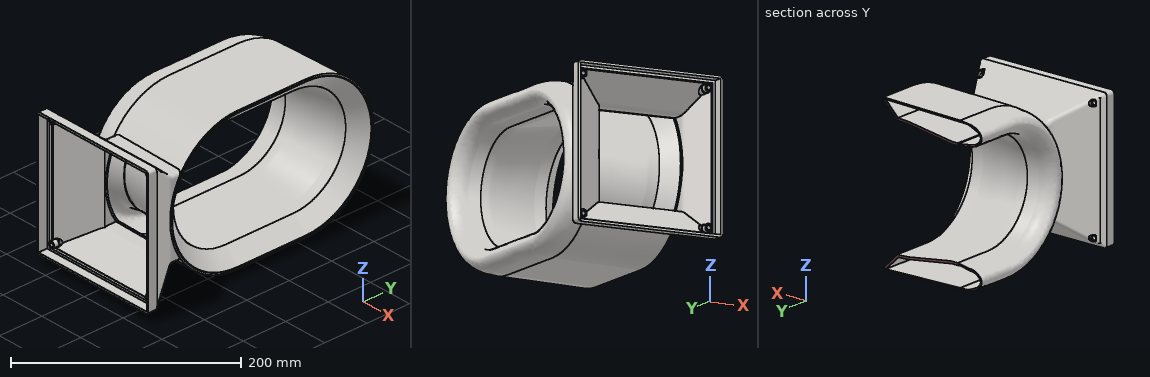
import cadquery as cq
import math

ring_half_width = 56.0
end_centre = 40.0
ring_height = 160.0
seam_x = -31.5
seam_radius = 78.0
shell_wall = 2.0
inner_wall = 2.8

nose_radius = 66.5
curl_x = -40.3
curl_radius = 56.0
lip_end_x = -28.8
bore_radius = 53.8

throat_bend_x = -20.2
diffuser_end_x = 28.3
diffuser_end_radius = 61.0
band_end_x = 40.3
band_radius = 61.5
throat_rounding = 28.0
outside_bend_x = -21.8
outside_rounding = 18.0
flare_start_x = 39.2
flare_end_x = 52.5
flare_rim_radius = 77.3

overall_length = 280.0
flange_half = 72.0
flange_depth = 10.0
flange_rounding = 3.5
rim_width = 2.5
ledge_width = 2.5
mouth_depth = 3.0
neck_half_height = 45.0
neck_wall = 2.8
neck_top_y = -92.5
corner_edge_rise = 0.8
neck_bend_y = -119.3
neck_rounding = 5.0
bend_radius = 11.2
hood_wall = 2.0

boss_spacing = 124.5
boss_face_y = -151.2
boss_tip_diameter = 7.3
boss_step_y = -145.5
boss_base_diameter = 8.5
boss_back_y = -128.8
screw_hole_diameter = 4.2
head_pocket_diameter = 6.5
head_pocket_y = -144.2

rear_radius = ring_height / 2
flange_face_y = end_centre + rear_radius - overall_length
flange_back_y = flange_face_y + flange_depth
mouth_back_y = flange_back_y + mouth_depth


def rounded_outline(plane, points, roundings):
    """Closed outline through points; roundings maps a point index to its corner radius."""
    count = len(points)
    path = []
    for index, corner in enumerate(points):
        corner = cq.Vector(*corner)
        radius = roundings.get(index)
        if radius is None:
            path.append((corner, None, corner))
            continue
        to_previous = (cq.Vector(*points[index - 1]) - corner).normalized()
        to_next = (cq.Vector(*points[(index + 1) % count]) - corner).normalized()
        half_angle = to_previous.getAngle(to_next) / 2
        setback = radius / math.tan(half_angle)
        bisector = (to_previous + to_next).normalized()
        middle = corner + bisector * (radius / math.sin(half_angle) - radius)
        path.append((corner + to_previous * setback, middle, corner + to_next * setback))
    outline = plane.moveTo(path[0][2].x, path[0][2].y)
    for start, middle, end in path[1:] + path[:1]:
        outline = outline.lineTo(start.x, start.y)
        if middle is not None:
            outline = outline.threePointArc((middle.x, middle.y), (end.x, end.y))
    return outline.wire()


def oval_sweep(section):
    """Carry a section (drawn in X and end radius) around the whole oval."""
    straight = section().extrude(2 * end_centre)
    far_end = section().revolve(180, (0, 0), (-1, 0))
    body = straight.union(straight.mirror("XY"))
    return body.union(far_end).union(far_end.mirror("XZ"))


def section_plane():
    return cq.Workplane("XZ", origin=(0, end_centre, 0))


def shell_radius(x):
    """Outer end radius of the slightly tapered outer shell."""
    taper = (rear_radius - seam_radius) / (ring_half_width - seam_x)
    return seam_radius + taper * (x - seam_x)


def quarter_ellipse(start, end, steps=3):
    """Points after start up to end, leaving start along X and arriving at right angles to X."""
    angles = [math.pi / 2 * step / steps for step in range(1, steps + 1)]
    return [
        (
            start[0] + (end[0] - start[0]) * math.sin(angle),
            end[1] + (start[1] - end[1]) * math.cos(angle),
        )
        for angle in angles
    ]


def shoulder_curve(inset=0):
    """Points from the seam to the nose, shifted into the wall by inset."""
    seam = (seam_x, seam_radius - inset)
    nose = (inset - ring_half_width, nose_radius)
    return [seam] + quarter_ellipse(seam, nose)


def nose_curve(inset=0):
    """Points from the seam round the nose to the curl, shifted into the wall by inset."""
    shoulder = shoulder_curve(inset)
    curl = (curl_x, curl_radius + inset)
    curl_to_nose = [curl] + quarter_ellipse(curl, shoulder[-1])
    return shoulder + curl_to_nose[-2::-1]


def lip_section():
    """Rolled nose followed by a tapering skirt that leads into the bore."""
    outside = nose_curve()
    inside = nose_curve(shell_wall)[::-1]
    turn_back = [(-1, 0), (1, 0)]
    return (
        section_plane()
        .moveTo(*outside[0])
        .spline(outside[1:], tangents=turn_back, includeCurrent=True)
        .lineTo(lip_end_x, bore_radius)
        .lineTo(lip_end_x, bore_radius + shell_wall)
        .lineTo(*inside[0])
        .spline(inside[1:], tangents=turn_back, includeCurrent=True)
        .close()
    )


def shell_section():
    """Thin wall that widens slightly towards the +X rim."""
    return (
        section_plane()
        .moveTo(seam_x, seam_radius)
        .lineTo(ring_half_width, rear_radius)
        .lineTo(ring_half_width, rear_radius - shell_wall)
        .lineTo(seam_x, seam_radius - shell_wall)
        .close()
    )


def inner_ring_section():
    """Bore, diffuser, rear band and a flare that closes the duct against the shell."""
    points = [
        (lip_end_x, bore_radius),
        (throat_bend_x, bore_radius),
        (diffuser_end_x, diffuser_end_radius),
        (band_end_x, band_radius),
        (ring_half_width, flare_rim_radius),
        (ring_half_width, rear_radius - shell_wall),
        (flare_end_x, shell_radius(flare_end_x) - shell_wall),
        (flare_start_x, band_radius + inner_wall),
        (diffuser_end_x, diffuser_end_radius + inner_wall),
        (outside_bend_x, bore_radius + inner_wall),
        (lip_end_x, bore_radius + inner_wall),
    ]
    roundings = {1: throat_rounding, 8: outside_rounding, 9: outside_rounding}
    return rounded_outline(section_plane(), points, roundings)


def ring_envelope_section():
    """Space enclosed by the outside of lip and shell, down to the ring's axis."""
    outside = shoulder_curve()
    return (
        section_plane()
        .moveTo(*outside[0])
        .spline(outside[1:], tangents=[(-1, 0), (0, -1)], includeCurrent=True)
        .lineTo(-ring_half_width, 0)
        .lineTo(ring_half_width, 0)
        .lineTo(ring_half_width, rear_radius)
        .close()
    )


def hood_block(wall, slope_wall, left_bend_radius):
    """Neck and sloping hood, shrunk by a wall in the neck and in the slopes.

    Plan and side outlines are intersected, so that the slopes meet in mitres.
    """
    left = seam_x + wall
    right = ring_half_width - wall
    high = neck_half_height - wall

    def mouth(neck_half):
        """Distance from the centre to the slope at the flange, past its wall."""
        spread = flange_half - neck_half
        slope = math.atan2(spread, neck_bend_y - flange_back_y)
        return flange_half - slope_wall / math.cos(slope)

    mouth_left = -mouth(-seam_x)
    mouth_right = mouth(ring_half_width)
    mouth_high = mouth(neck_half_height)
    plan_points = [
        (right, neck_top_y),
        (left, neck_top_y),
        (left, neck_bend_y),
        (mouth_left, flange_back_y),
        (mouth_right, flange_back_y),
        (right, neck_bend_y),
    ]
    side_points = [
        (neck_top_y, high),
        (neck_top_y, -high),
        (neck_bend_y, -high),
        (flange_back_y, -mouth_high),
        (flange_back_y, mouth_high),
        (neck_bend_y, high),
    ]
    bends = {2: bend_radius, 5: bend_radius}
    plan_bends = {2: left_bend_radius, 5: bend_radius}
    plan = rounded_outline(cq.Workplane("XY"), plan_points, plan_bends).extrude(flange_half, both=True)
    side = rounded_outline(cq.Workplane("YZ"), side_points, bends).extrude(flange_half, both=True)
    return plan.intersect(side)


def corner_edges(hood):
    """Edges that run down the four corners, the only ones that change in Y."""
    def runs_along_y(edge):
        return abs(edge.startPoint().y - edge.endPoint().y) > corner_edge_rise

    return [edge for edge in hood.edges().vals() if runs_along_y(edge)]


def square_block(half, front_y, back_y):
    """Square block centred on the Y axis."""
    return (
        cq.Workplane("XZ", origin=(0, back_y, 0))
        .rect(2 * half, 2 * half)
        .extrude(back_y - front_y)
    )


def screw_posts(diameter, front_y, back_y):
    """Four cylinders along Y at the screw positions."""
    return (
        cq.Workplane("XZ", origin=(0, back_y, 0))
        .rect(boss_spacing, boss_spacing, forConstruction=True)
        .vertices()
        .circle(diameter / 2)
        .extrude(back_y - front_y)
    )


throat_cavity = hood_block(neck_wall, hood_wall, None)
ring_envelope = oval_sweep(ring_envelope_section)


def make_lip():
    return oval_sweep(lip_section)


def make_shell():
    return oval_sweep(shell_section).cut(throat_cavity)


def make_inner_ring():
    return oval_sweep(inner_ring_section)


def make_funnel():
    """Hollow neck, hood and recessed flange with a screw boss in each corner."""
    hood = hood_block(0, 0, bend_radius)
    hood = hood.newObject(corner_edges(hood)).fillet(neck_rounding)
    flange = square_block(flange_half, flange_face_y, flange_back_y).edges("|Y").fillet(flange_rounding)
    blank = hood.union(flange)

    recess_half = flange_half - rim_width
    mouth_half = recess_half - ledge_width
    recess = square_block(recess_half, flange_face_y, flange_back_y)
    mouth = square_block(mouth_half, flange_back_y, mouth_back_y)
    throat = throat_cavity.cut(square_block(flange_half, flange_face_y, mouth_back_y))
    funnel = blank.cut(throat).cut(recess).cut(mouth)

    boss_tips = screw_posts(boss_tip_diameter, boss_face_y, boss_back_y)
    boss_bases = screw_posts(boss_base_diameter, boss_step_y, boss_back_y)
    screw_holes = screw_posts(screw_hole_diameter, flange_face_y, boss_back_y)
    head_pockets = screw_posts(head_pocket_diameter, head_pocket_y, boss_back_y)
    funnel = funnel.union(boss_tips.union(boss_bases).intersect(blank))
    funnel = funnel.cut(screw_holes).cut(head_pockets)
    return funnel.cut(ring_envelope)


lip = make_lip()
shell = make_shell()
inner_ring = make_inner_ring()
funnel = make_funnel()

result = cq.Compound.makeCompound([lip.val(), shell.val(), inner_ring.val(), funnel.val()])